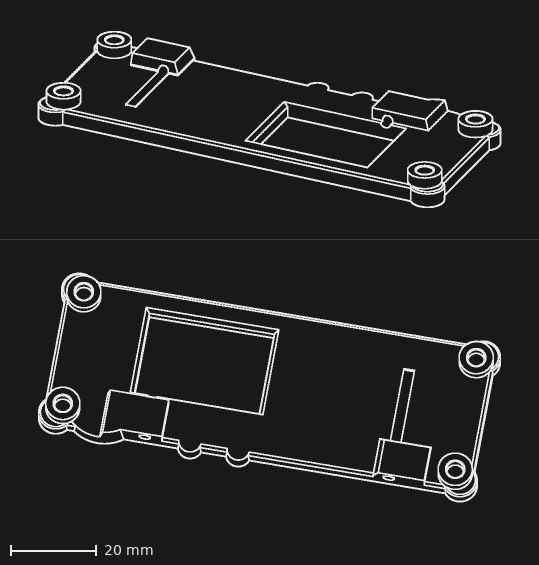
import cadquery as cq
import math

LENGTH = 103.8
HEIGHT = 6.7

PLATE_LENGTH = 101.4
PLATE_WIDTH = 36.0
PLATE_HEIGHT = 3.9
EDGE_DROP = 0.5
EDGE_INSET = 0.7
BACK_Y = PLATE_WIDTH / 2

ROUND_DIAMETER = 8.0
LOBE_X = (LENGTH - ROUND_DIAMETER) / 2
LOBE_Y = 15.5
LOBE_CHAMFER = 0.4
BOSS_X = 46.5
BOSS_Y = 14.0
BOSS_HOLE_DIAMETER = 4.0
BOSS_HOLE_CHAMFER = 0.2

BULGE_REACH = 2.0
SMALL_BULGE_X = (4.4, 15.8)
SMALL_BULGE_CHORD = 5.5
LARGE_BULGE_X = 37.3
LARGE_BULGE_CHORD = 11.8
BULGE_DRAFT = 4.0

WINDOW_LEFT = 0.2
WINDOW_RIGHT = 31.7
WINDOW_FRONT = -13.7
WINDOW_BACK = 7.6
WINDOW_INSET = 0.9
WINDOW_CHAMFER_DEPTH = 1.1

BLOCK_FRONT = 8.8
LEFT_BLOCK = (-39.9, -27.7)
LEFT_BLOCK_SLOPE_Z = 4.3
LEFT_BLOCK_END_SLOPE = 1.2
LEFT_BLOCK_FRONT_SLOPE = 0.9
RIGHT_BLOCK = (22.3, 36.7)
RIGHT_BLOCK_END_SLOPE = 0.6
CHANNEL_DIAMETER = 2.6
CHANNEL_Z = 4.3
LEFT_CHANNEL_X = -31.5
LEFT_CHANNEL_FRONT = -9.3
RIGHT_CHANNEL_X = 26.4


def frustum(bottom, bottom_z, top, top_z):
    """Ruled solid between two (x0, x1, y0, y1) rectangles."""
    def outline(bounds, z):
        x0, x1, y0, y1 = bounds
        corners = [(x0, y0, z), (x1, y0, z), (x1, y1, z), (x0, y1, z)]
        return cq.Wire.makePolygon([cq.Vector(*corner) for corner in corners], close=True)

    return cq.Workplane(cq.Solid.makeLoft([outline(bottom, bottom_z), outline(top, top_z)], True))


def bulge(x, chord, height):
    """Drafted round whose bottom circle cuts the back edge along the given chord."""
    radius = (chord**2 / 4 + BULGE_REACH**2) / (2 * BULGE_REACH)
    top_radius = radius - height * math.tan(math.radians(BULGE_DRAFT))
    cone = cq.Solid.makeCone(radius, top_radius, height)
    return cq.Workplane(cone.translate(cq.Vector(x, BACK_Y + BULGE_REACH - radius, 0)))


def plate():
    half_x = PLATE_LENGTH / 2
    foot = (-half_x, half_x, -BACK_Y, BACK_Y)
    rim = (-half_x + EDGE_INSET, half_x - EDGE_INSET, -BACK_Y + EDGE_INSET, BACK_Y - EDGE_INSET)
    rim_z = PLATE_HEIGHT - EDGE_DROP
    return frustum(foot, 0, foot, rim_z).union(frustum(foot, rim_z, rim, PLATE_HEIGHT))


def corner_lobes():
    return (
        cq.Workplane("XY")
        .rect(2 * LOBE_X, 2 * LOBE_Y, forConstruction=True)
        .vertices()
        .circle(ROUND_DIAMETER / 2)
        .extrude(PLATE_HEIGHT)
        .faces(">Z")
        .edges()
        .chamfer(LOBE_CHAMFER)
    )


def boss_cylinders(diameter, bottom_z):
    return (
        cq.Workplane("XY", origin=(0, 0, bottom_z))
        .rect(2 * BOSS_X, 2 * BOSS_Y, forConstruction=True)
        .vertices()
        .circle(diameter / 2)
        .extrude(HEIGHT - bottom_z)
    )


def left_block():
    x0, x1 = LEFT_BLOCK
    foot = (x0, x1, BLOCK_FRONT, BACK_Y)
    top = (x0, x1 - LEFT_BLOCK_END_SLOPE, BLOCK_FRONT + LEFT_BLOCK_FRONT_SLOPE, BACK_Y)
    base = frustum(foot, 0, foot, LEFT_BLOCK_SLOPE_Z)
    return base.union(frustum(foot, LEFT_BLOCK_SLOPE_Z, top, HEIGHT))


def right_block():
    x0, x1 = RIGHT_BLOCK
    top_x1 = x1 - RIGHT_BLOCK_END_SLOPE

    def prism(back):
        base = frustum((x0, x1, BLOCK_FRONT, back), 0, (x0, x1, BLOCK_FRONT, back), PLATE_HEIGHT)
        upper = frustum(
            (x0, x1, BLOCK_FRONT, back), PLATE_HEIGHT, (x0, top_x1, BLOCK_FRONT, back), HEIGHT
        )
        return base.union(upper)

    bulge_part = prism(BACK_Y + BULGE_REACH).intersect(bulge(LARGE_BULGE_X, LARGE_BULGE_CHORD, HEIGHT))
    return prism(BACK_Y).union(bulge_part)


def window():
    throat = (
        WINDOW_LEFT + WINDOW_INSET, WINDOW_RIGHT - WINDOW_INSET, WINDOW_FRONT + WINDOW_INSET, WINDOW_BACK
    )
    mouth = (WINDOW_LEFT, WINDOW_RIGHT, WINDOW_FRONT, WINDOW_BACK)
    throat_z = PLATE_HEIGHT - WINDOW_CHAMFER_DEPTH
    return frustum(throat, 0, throat, throat_z).union(frustum(throat, throat_z, mouth, PLATE_HEIGHT))


def channel(x, front):
    length = BACK_Y + BULGE_REACH - front
    rod = cq.Solid.makeCylinder(
        CHANNEL_DIAMETER / 2, length, cq.Vector(x, front, CHANNEL_Z), cq.Vector(0, 1, 0)
    )
    return cq.Workplane(rod)


result = plate().union(corner_lobes())
for bulge_x in SMALL_BULGE_X:
    result = result.union(bulge(bulge_x, SMALL_BULGE_CHORD, PLATE_HEIGHT))
result = result.union(bulge(LARGE_BULGE_X, LARGE_BULGE_CHORD, PLATE_HEIGHT))
result = result.union(left_block()).union(right_block())
result = result.union(boss_cylinders(ROUND_DIAMETER, 0))
result = result.cut(boss_cylinders(BOSS_HOLE_DIAMETER, PLATE_HEIGHT))
hole_rims = result.faces(">Z").edges(cq.selectors.RadiusNthSelector(0))
result = hole_rims.chamfer(BOSS_HOLE_CHAMFER)
result = result.cut(window())
result = result.cut(channel(LEFT_CHANNEL_X, LEFT_CHANNEL_FRONT))
result = result.cut(channel(RIGHT_CHANNEL_X, WINDOW_BACK))